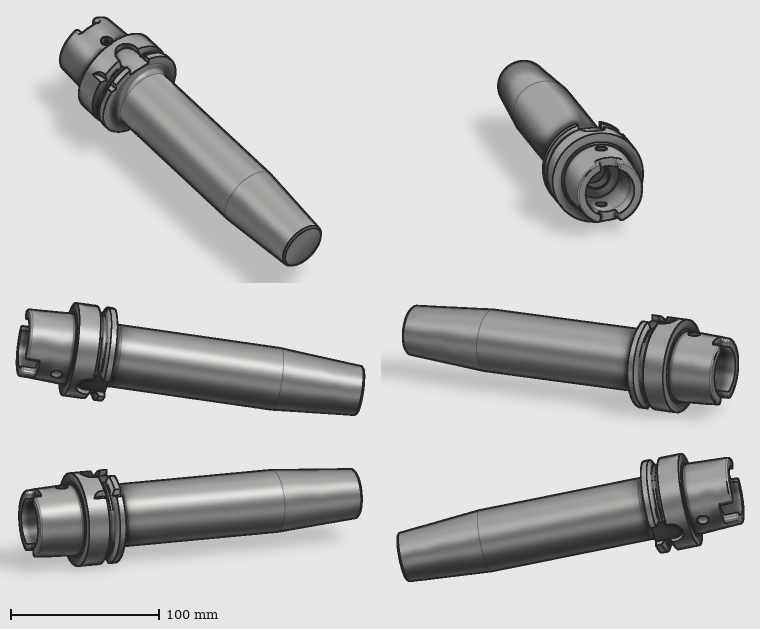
import cadquery as cq
import math

total_length = 232.0

shank_mouth_radius = 22.7
shank_base_radius = 24.1
shank_edge_round = 1.2
taper_end_x = 29.0
relief_depth = 0.2
relief_start_x = 30.0
relief_end_x = 30.9
relief_face_radius = 25.3

flange_radius = 63.0 / 2
flange_front_x = 31.5
flange_back_x = 57.8
groove_center_x = 49.9
groove_radius = 55.0 / 2
groove_floor_width = 2.8
groove_flank_angle = 30.0
groove_corner_round = 1.0

neck_radius = 21.0
neck_round = 4.9
nose_start_x = 174.7
nose_tip_radius = 16.7
nose_chamfer = 1.2

mouth_bore_radius = 17.0
inner_bore_radius = 15.3
straight_bore_depth = 12.0
bore_depth = 34.8
coolant_hole_radius = 9.3
coolant_hole_chamfer = 0.7
coolant_hole_depth = 11.5
cross_hole_x = 22.7
cross_hole_radius = 3.7
cross_hole_chamfer = 0.5

drive_slot_half_width = 6.0
drive_slot_lip_round = 2.5
drive_slot_corner_round = 1.2
upper_drive_slot_depth = 5.5
lower_drive_slot_depth = 9.5

cutter_radius = 8.0
cutter_center_x = 44.5
keyway_floor = 26.5
notch_offset = 20.2

clearance = 11.5
tolerance = 0.002


def turned_body():
    relief_radius = shank_base_radius - relief_depth
    arc_inset = neck_round * (1 - math.sqrt(0.5))
    profile = (
        cq.Workplane("XY")
        .lineTo(0, shank_mouth_radius)
        .lineTo(taper_end_x, shank_base_radius)
        .lineTo(relief_start_x, relief_radius)
        .lineTo(relief_end_x, relief_radius)
        .lineTo(flange_front_x, relief_face_radius)
        .lineTo(flange_front_x, flange_radius)
        .lineTo(flange_back_x, flange_radius)
        .lineTo(flange_back_x, neck_radius + neck_round)
        .threePointArc(
            (flange_back_x + arc_inset, neck_radius + arc_inset),
            (flange_back_x + neck_round, neck_radius),
        )
        .lineTo(nose_start_x, neck_radius)
        .lineTo(total_length, nose_tip_radius)
        .lineTo(total_length, 0)
        .close()
    )
    body = profile.revolve(360, (0, 0, 0), (1, 0, 0))
    return body.faces(">X").edges().chamfer(nose_chamfer)


def gripper_groove():
    """Ring cut into the flange: flat floor, sloped flanks and rounded floor corners."""
    flank_angle = math.radians(groove_flank_angle)
    half_floor = groove_floor_width / 2
    flank_run = (flange_radius - groove_radius) * math.tan(flank_angle)
    turn = math.pi / 2 - flank_angle
    tangent_length = groove_corner_round * math.tan(turn / 2)
    flat_half = half_floor - tangent_length
    flank_x = half_floor + tangent_length * math.sin(flank_angle)
    flank_radius = groove_radius + tangent_length * math.cos(flank_angle)
    middle_x = flat_half + groove_corner_round * math.sin(turn / 2)
    middle_radius = groove_radius + groove_corner_round * (1 - math.cos(turn / 2))
    rim_x = half_floor + flank_run
    outer_radius = flange_radius + clearance
    return (
        cq.Workplane("XY", origin=(groove_center_x, 0, 0))
        .moveTo(-rim_x, outer_radius)
        .lineTo(-rim_x, flange_radius)
        .lineTo(-flank_x, flank_radius)
        .threePointArc((-middle_x, middle_radius), (-flat_half, groove_radius))
        .lineTo(flat_half, groove_radius)
        .threePointArc((middle_x, middle_radius), (flank_x, flank_radius))
        .lineTo(rim_x, flange_radius)
        .lineTo(rim_x, outer_radius)
        .close()
        .revolve(360, (0, 0, 0), (1, 0, 0))
    )


def bore():
    hole_bottom_x = bore_depth + coolant_hole_depth
    return (
        cq.Workplane("XY")
        .lineTo(0, mouth_bore_radius)
        .lineTo(straight_bore_depth, mouth_bore_radius)
        .lineTo(bore_depth, inner_bore_radius)
        .lineTo(bore_depth, coolant_hole_radius)
        .lineTo(bore_depth + coolant_hole_chamfer, coolant_hole_radius - coolant_hole_chamfer)
        .lineTo(hole_bottom_x, coolant_hole_radius - coolant_hole_chamfer)
        .lineTo(hole_bottom_x, 0)
        .close()
        .revolve(360, (0, 0, 0), (1, 0, 0))
    )


def drive_slot(depth):
    """Plain slot across the +Z side of the shank mouth."""
    height = shank_base_radius + clearance
    return cq.Workplane("XY").box(
        2 * depth, 2 * drive_slot_half_width, height, centered=(True, True, False)
    )


def on_slot_wall(edge):
    return math.isclose(abs(edge.Center().y), drive_slot_half_width, abs_tol=tolerance)


def is_lip_edge(edge):
    """Edge where a drive slot wall runs out through the tapered shank surface."""
    center = edge.Center()
    in_slot = tolerance < center.x < lower_drive_slot_depth - tolerance
    outside_bore = math.hypot(center.y, center.z) > mouth_bore_radius + tolerance
    runs_along_x = edge.BoundingBox().xlen > upper_drive_slot_depth / 2
    return on_slot_wall(edge) and in_slot and runs_along_x and outside_bore


def is_corner_edge(edge):
    """Straight edge where a drive slot wall meets the slot's end face."""
    center = edge.Center()
    end_x = upper_drive_slot_depth if center.z > 0 else lower_drive_slot_depth
    at_end = math.isclose(center.x, end_x, abs_tol=tolerance)
    return edge.geomType() == "LINE" and on_slot_wall(edge) and at_end


def is_mouth_rim(edge):
    """Edge of the mouth face, other than the bore circle."""
    on_mouth = edge.BoundingBox().xmax < tolerance
    is_circle = edge.geomType() == "CIRCLE"
    on_bore = is_circle and math.isclose(edge.radius(), mouth_bore_radius, abs_tol=tolerance)
    return on_mouth and not on_bore


def milled_slot(center_y, floor_z):
    """Round-ended slot of one cutter width, open toward +X and +Z, ending at the flange back."""
    height = flange_radius + clearance - floor_z
    run = flange_back_x - cutter_center_x
    return (
        cq.Workplane("XY", origin=(cutter_center_x, center_y, floor_z))
        .moveTo(run, -cutter_radius)
        .lineTo(0, -cutter_radius)
        .threePointArc((-cutter_radius, 0), (0, cutter_radius))
        .lineTo(run, cutter_radius)
        .close()
        .extrude(height)
    )


def half_turn(shape):
    return shape.rotate((0, 0, 0), (1, 0, 0), 180)


def cross_hole():
    """Radial hole toward +Z with a chamfered rim."""
    shank_slope = (shank_base_radius - shank_mouth_radius) / taper_end_x
    rim_z = shank_mouth_radius + shank_slope * cross_hole_x
    rim_radius = cross_hole_radius + cross_hole_chamfer
    return (
        cq.Workplane("XZ", origin=(cross_hole_x, 0, 0))
        .lineTo(cross_hole_radius, 0)
        .lineTo(cross_hole_radius, rim_z - cross_hole_chamfer)
        .lineTo(rim_radius, rim_z)
        .lineTo(rim_radius, rim_z + clearance / 2)
        .lineTo(0, rim_z + clearance / 2)
        .close()
        .revolve(360, (0, 0, 0), (0, 1, 0))
    )


result = turned_body().cut(gripper_groove()).cut(bore())
result = result.cut(drive_slot(upper_drive_slot_depth))
result = result.cut(half_turn(drive_slot(lower_drive_slot_depth)))
result = result.edges().filter(is_lip_edge).fillet(drive_slot_lip_round)
result = result.edges().filter(is_corner_edge).fillet(drive_slot_corner_round)
result = result.edges().filter(is_mouth_rim).fillet(shank_edge_round)
for flange_cut in (cross_hole(), milled_slot(0, keyway_floor)):
    result = result.cut(flange_cut).cut(half_turn(flange_cut))
result = result.cut(milled_slot(-notch_offset - cutter_radius, notch_offset))